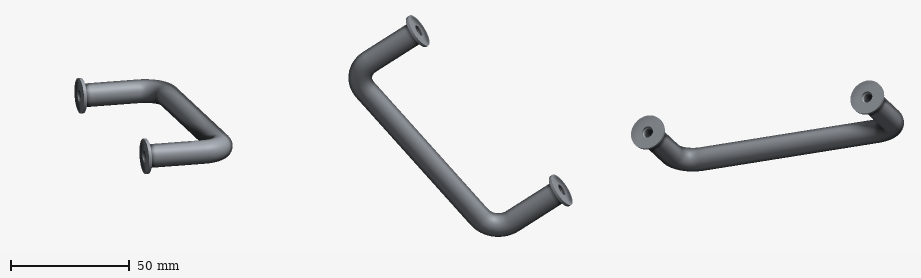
import cadquery as cq
import math

hole_spacing = 100.0
height = 41.0
rod_diameter = 10.0
bend_radius = 10.0

flange_diameter = 15.0
flange_thickness = 1.5
flange_edge_radius = 0.5

counterbore_diameter = 5.0
counterbore_depth = 1.0
core_diameter = 4.13
core_depth = 10.0
drill_point_angle = 118.0

leg_x = hole_spacing / 2
grip_y = height - rod_diameter / 2
bend_y = grip_y - bend_radius
bend_x = leg_x - bend_radius


def make_rod():
    """U-shaped round bar swept from one mounting face to the other."""
    diagonal = bend_radius * math.sqrt(0.5)
    path = (
        cq.Workplane("XY")
        .moveTo(-leg_x, 0)
        .lineTo(-leg_x, bend_y)
        .threePointArc((-bend_x - diagonal, bend_y + diagonal), (-bend_x, grip_y))
        .lineTo(bend_x, grip_y)
        .threePointArc((bend_x + diagonal, bend_y + diagonal), (leg_x, bend_y))
        .lineTo(leg_x, 0)
    )
    section = cq.Workplane("XZ", origin=(-leg_x, 0, 0)).circle(rod_diameter / 2)
    return section.sweep(path)


def make_flange(x):
    """Disc at the foot of a leg, rounded on the rod side."""
    disc = (
        cq.Workplane("XZ", origin=(x, 0, 0))
        .circle(flange_diameter / 2)
        .extrude(-flange_thickness)
    )
    return disc.faces(">Y").edges().fillet(flange_edge_radius)


def make_hole(x):
    """Blind hole with a 45 degree lead-in to the core and a drill-point bottom."""
    counterbore_radius = counterbore_diameter / 2
    core_radius = core_diameter / 2
    lead_in_end = counterbore_depth + counterbore_radius - core_radius
    core_end = counterbore_depth + core_depth
    tip = core_end + core_radius / math.tan(math.radians(drill_point_angle / 2))
    profile = (
        cq.Workplane("XY", origin=(x, 0, 0))
        .polyline([
            (0, 0),
            (counterbore_radius, 0),
            (counterbore_radius, counterbore_depth),
            (core_radius, lead_in_end),
            (core_radius, core_end),
            (0, tip),
        ])
        .close()
    )
    return profile.revolve(360, (0, 0, 0), (0, 1, 0))


result = make_rod()
for foot_x in (-leg_x, leg_x):
    result = result.union(make_flange(foot_x))
for foot_x in (-leg_x, leg_x):
    result = result.cut(make_hole(foot_x))